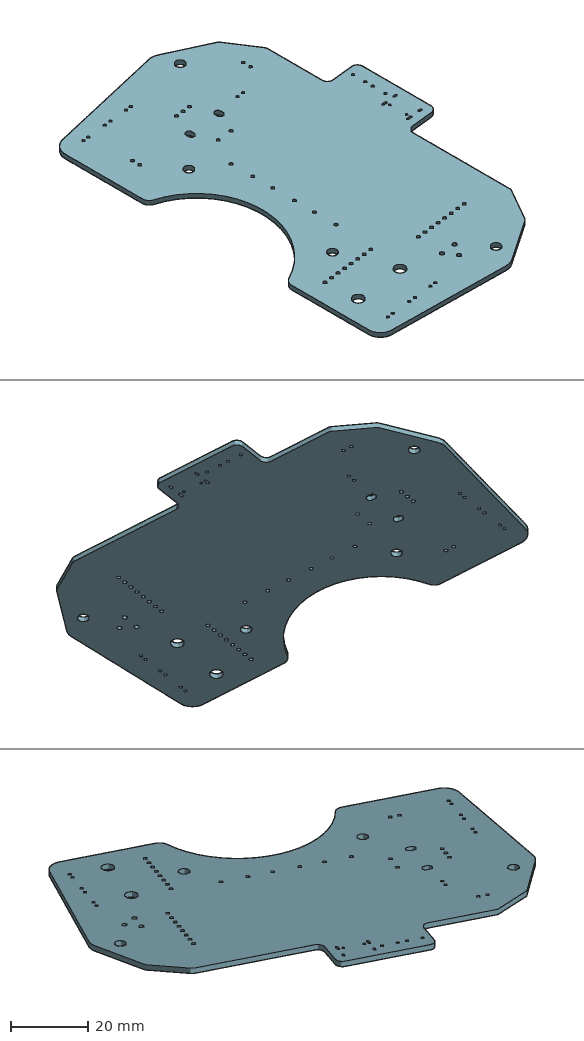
import cadquery as cq
import math

board_width = 124.44
board_height = 77.86
thickness = 1.6
half_height = board_height / 2

shoulder_depth = 11.2
shoulder_y = half_height - shoulder_depth
shoulder_half_width = 42.65
upper_corner_x = 53.4
upper_corner_drop = 6.5
upper_corner_y = shoulder_y - upper_corner_drop
side_corner_overhang = 0.151
side_half_width = board_width / 2 + side_corner_overhang
side_corner_y = 5.5
foot_half_width = 56.83
lower_corner_radius = 4.5
upper_corner_radius = 2.0

cutout_radius = 25.4
cutout_top_y = -21.42
cutout_corner_radius = 2.8

tab_left = -21.15
tab_right = 6.6
tab_corner_radius = 2.0

mount_diameter = 3.0
mount_upper_x = 55.0
mount_upper_y = 8.1
mount_lower_x = 25.0
mount_lower_y = -21.95

large_diameter = 3.52
large_x = 42.45
large_upper_y = -15.2
large_pitch = 16.2

header_pin_diameter = 1.0
header_pin_count = 8
header_pitch = 2.54
upper_header_x = 37.45
upper_header_top_y = 15.33
lower_header_x = 31.65
lower_header_top_y = -14.5

encoder_x = -34.15
encoder_y = -5.68
encoder_pin_diameter = 1.0
encoder_pin_pitch = 2.5
encoder_pin_offset = 7.5
encoder_switch_offset = 7.0
encoder_slot_pitch = 11.2
encoder_slot_length = 2.8
encoder_slot_width = 2.0

usb_x = -0.56
usb_peg_diameter = 0.65
usb_peg_pitch = 5.78
usb_peg_y = 32.05
usb_slot_pitch = 8.64
usb_slot_width = 0.6
usb_long_slot_length = 1.7
usb_long_slot_y = 31.5
usb_short_slot_length = 1.2
usb_slot_row_pitch = 4.18
usb_short_slot_y = usb_long_slot_y + usb_slot_row_pitch

tab_lead_diameter = 0.8
tab_lead_y = 34.7
tab_lead_xs = [-18.68, -14.43, -11.8, -7.43]
row_lead_diameter = 1.0
row_lead_y = -13.1
row_pair_pitch = 14.5
row_lead_spacing = 7.54
side_lead_diameter = 0.8
side_lead_x = 53.03
side_lead_ys = [-13.3, -15.2, -21.2, -23.4, -29.8, -31.7]
upper_pair_diameter = 0.9
upper_pair_y = 19.35
upper_pair_xs = [-43.15, -40.6]
lower_pair_diameter = 1.0
lower_pair_y = -29.2
lower_pair_xs = [-38.2, -35.66]
upright_pair_diameter = 0.8
upright_pair_x = -35.05
upright_pair_ys = [10.3, 8.1]
trio_diameter = 1.3
trio_x = 46.45
trio_y = -0.9
trio_pitch = 4.9
trio_tip_x = 50.2


def round_corners(plate, points, radius):
    """Round the upright edges of the plate that stand at the given XY points."""
    reach = 0.1
    for x, y in points:
        corner = cq.selectors.BoxSelector(
            (x - reach, y - reach, -reach), (x + reach, y + reach, thickness + reach)
        )
        plate = plate.edges("|Z").edges(corner).fillet(radius)
    return plate


def board():
    """Plate with angled shoulders, tapered sides and rounded corners."""
    right_side = [
        (shoulder_half_width, shoulder_y),
        (upper_corner_x, upper_corner_y),
        (side_half_width, side_corner_y),
        (foot_half_width, -half_height),
    ]
    left_side = [(-x, y) for x, y in reversed(right_side)]
    plate = cq.Workplane("XY").polyline(right_side + left_side).close().extrude(thickness)
    upper_corners = right_side[:2] + left_side[2:]
    lower_corners = right_side[2:] + left_side[:2]
    plate = round_corners(plate, upper_corners, upper_corner_radius)
    return round_corners(plate, lower_corners, lower_corner_radius)


def add_tab(plate):
    """Join the connector tab, rounding its free corners and its roots."""
    tab = (
        cq.Workplane("XY")
        .moveTo(tab_left, 0)
        .lineTo(tab_right, 0)
        .lineTo(tab_right, half_height)
        .lineTo(tab_left, half_height)
        .close()
        .extrude(thickness)
    )
    corners = [(x, y) for x in (tab_left, tab_right) for y in (shoulder_y, half_height)]
    return round_corners(plate.union(tab), corners, tab_corner_radius)


def cut_arch(plate):
    """Cut the round recess from the lower edge and round its two ends."""
    centre_y = cutout_top_y - cutout_radius
    half_width = math.sqrt(cutout_radius**2 - (half_height + centre_y) ** 2)
    arched = plate.cut(cq.Workplane("XY").center(0, centre_y).circle(cutout_radius).extrude(thickness))
    ends = [(-half_width, -half_height), (half_width, -half_height)]
    return round_corners(arched, ends, cutout_corner_radius)


def holes(points, diameter):
    return cq.Workplane("XY").pushPoints(points).circle(diameter / 2).extrude(thickness)


def slots(points, length, width, angle):
    return cq.Workplane("XY").pushPoints(points).slot2D(length, width, angle).extrude(thickness)


def mounting_holes():
    corners = [(mount_upper_x, mount_upper_y), (mount_lower_x, mount_lower_y)]
    points = [(side * x, y) for x, y in corners for side in (-1, 1)]
    return [holes(points, mount_diameter)]


def large_holes():
    return [holes([(large_x, large_upper_y - i * large_pitch) for i in range(2)], large_diameter)]


def header(x, top_y):
    return [holes([(x, top_y - i * header_pitch) for i in range(header_pin_count)], header_pin_diameter)]


def encoder():
    pins = [(encoder_x - encoder_pin_offset, encoder_y + i * encoder_pin_pitch) for i in (-1, 0, 1)]
    switch_pins = [(encoder_x + encoder_switch_offset, encoder_y + i * encoder_pin_pitch) for i in (-1, 1)]
    lugs = [(encoder_x, encoder_y + i * encoder_slot_pitch / 2) for i in (-1, 1)]
    return [
        holes(pins + switch_pins, encoder_pin_diameter),
        slots(lugs, encoder_slot_length, encoder_slot_width, 0),
    ]


def usb_connector():
    def pair(pitch, y):
        return [(usb_x - pitch / 2, y), (usb_x + pitch / 2, y)]

    return [
        holes(pair(usb_peg_pitch, usb_peg_y), usb_peg_diameter),
        slots(pair(usb_slot_pitch, usb_long_slot_y), usb_long_slot_length, usb_slot_width, 90),
        slots(pair(usb_slot_pitch, usb_short_slot_y), usb_short_slot_length, usb_slot_width, 90),
    ]


def lead_holes():
    row_xs = [i * row_pair_pitch + end * row_lead_spacing / 2 for i in (-1, 0, 1) for end in (-1, 1)]
    trio = [
        (trio_x, trio_y + trio_pitch / 2),
        (trio_x, trio_y - trio_pitch / 2),
        (trio_tip_x, trio_y),
    ]
    return [
        holes([(x, tab_lead_y) for x in tab_lead_xs], tab_lead_diameter),
        holes([(x, row_lead_y) for x in row_xs], row_lead_diameter),
        holes([(side * side_lead_x, y) for side in (-1, 1) for y in side_lead_ys], side_lead_diameter),
        holes([(x, upper_pair_y) for x in upper_pair_xs], upper_pair_diameter),
        holes([(x, lower_pair_y) for x in lower_pair_xs], lower_pair_diameter),
        holes([(upright_pair_x, y) for y in upright_pair_ys], upright_pair_diameter),
        holes(trio, trio_diameter),
    ]


result = cut_arch(add_tab(board()))
openings = (
    mounting_holes()
    + large_holes()
    + header(upper_header_x, upper_header_top_y)
    + header(lower_header_x, lower_header_top_y)
    + encoder()
    + usb_connector()
    + lead_holes()
)
for opening in openings:
    result = result.cut(opening)